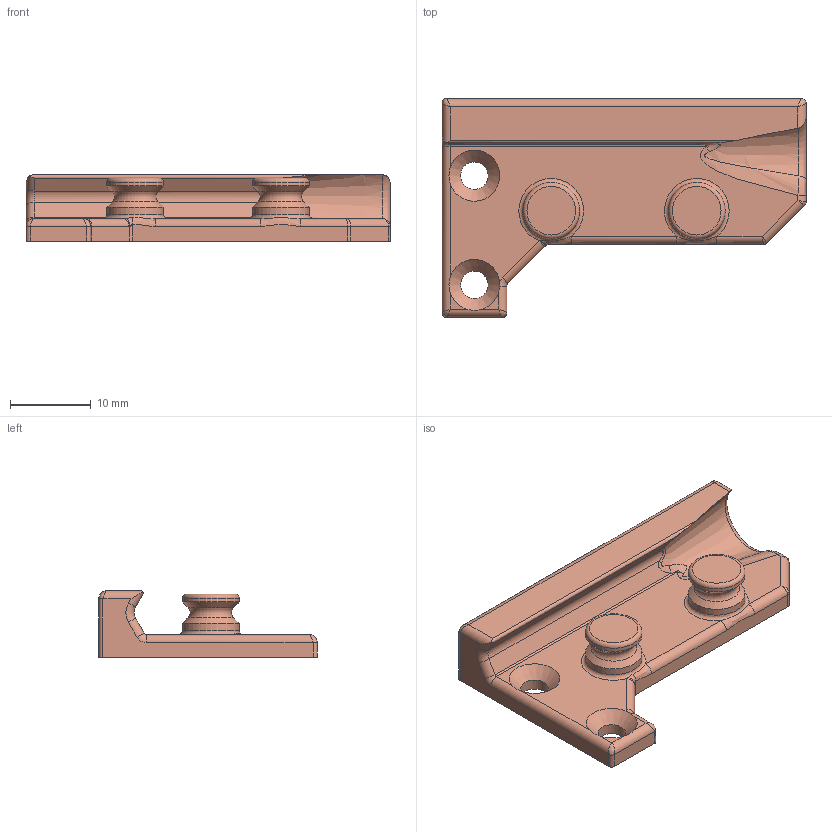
import cadquery as cq
import math

LENGTH = 45.0
WIDTH = 27.0
PLATE_THICKNESS = 2.8
TAB_WIDTH = 8.0
TAB_LENGTH = 4.0
FRONT_EDGE_Y = 9.0
CORNER_CUT = 5.0
CORNER_RADIUS = 0.5
EDGE_RADIUS = 1.0
TOUCH_TOLERANCE = 1e-3
FULL_TURN = 360

HEIGHT = 8.2
GROOVE_Z = 5.5
GROOVE_BOTTOM_Y = 22.65
GROOVE_RADIUS = 1.4
FLANK_ANGLE = math.radians(30)
LIP_RADIUS = 0.3
ROOT_RADIUS = 0.3
TANGENT_Y = GROOVE_BOTTOM_Y - GROOVE_RADIUS * (1 - math.cos(FLANK_ANGLE))
TANGENT_RISE = GROOVE_RADIUS * math.sin(FLANK_ANGLE)
ROOT_Y = TANGENT_Y - (GROOVE_Z - TANGENT_RISE - PLATE_THICKNESS) * math.tan(FLANK_ANGLE)
LIP_Y = TANGENT_Y - (HEIGHT - GROOVE_Z - TANGENT_RISE) * math.tan(FLANK_ANGLE)
LIP_ANGLE = math.pi / 2 - FLANK_ANGLE
LIP_SETBACK = LIP_RADIUS / math.tan(LIP_ANGLE / 2)

FLARE_Y = 20.0
FLARE_START_X = 30.0
FLARE_START_RADIUS = 2.4
FLARE_END_RADIUS = 4.42
FLARE_RIM_RADIUS = 4.0

PEG_X = 13.5
PEG_COUNT = 2
PEG_SPACING = 18.0
PEG_Y = 13.15
PEG_RADIUS = 3.5
PEG_TOP = 7.8
PEG_TOP_ROUND = 0.5
PEG_BASE_ROUND = 0.5
NECK_RADIUS = 2.55
NECK_ARC_RADIUS = 0.9
NECK_FLANK_ANGLE = math.radians(45)

HOLE_DIAMETER = 3.4
SINK_DIAMETER = 6.3
SINK_ANGLE = math.radians(90)
HOLE_X = 4.0
HOLE_YS = (4.0, 17.5)


def make_footprint(height):
    """Upright prism of the plan outline with rounded corners."""
    slant_end_x = TAB_WIDTH + FRONT_EDGE_Y - TAB_LENGTH
    outline = [
        (0, 0),
        (TAB_WIDTH, 0),
        (TAB_WIDTH, TAB_LENGTH),
        (slant_end_x, FRONT_EDGE_Y),
        (LENGTH - CORNER_CUT, FRONT_EDGE_Y),
        (LENGTH, FRONT_EDGE_Y + CORNER_CUT),
        (LENGTH, WIDTH),
        (0, WIDTH),
    ]
    prism = cq.Workplane("XY").polyline(outline).close().extrude(height)
    return prism.edges("|Z").fillet(CORNER_RADIUS)


def make_clearance():
    """Space above the plate, bounded by the undercut face of the wall."""
    return (
        cq.Workplane("YZ")
        .moveTo(0, PLATE_THICKNESS)
        .lineTo(ROOT_Y, PLATE_THICKNESS)
        .lineTo(TANGENT_Y, GROOVE_Z - TANGENT_RISE)
        .threePointArc((GROOVE_BOTTOM_Y, GROOVE_Z), (TANGENT_Y, GROOVE_Z + TANGENT_RISE))
        .lineTo(LIP_Y, HEIGHT)
        .lineTo(0, HEIGHT)
        .close()
        .extrude(LENGTH)
    )


def make_lip_trimmer():
    """Sliver between the sharp lip edge and the arc that rounds it."""
    flank_run = LIP_SETBACK * math.sin(FLANK_ANGLE)
    flank_drop = LIP_SETBACK * math.cos(FLANK_ANGLE)
    arc_center_y = LIP_Y + LIP_SETBACK
    arc_center_z = HEIGHT - LIP_RADIUS
    toward_tip = math.pi / 2 + (math.pi - LIP_ANGLE) / 2
    arc_middle = (
        arc_center_y + LIP_RADIUS * math.cos(toward_tip),
        arc_center_z + LIP_RADIUS * math.sin(toward_tip),
    )
    return (
        cq.Workplane("YZ")
        .moveTo(LIP_Y, HEIGHT)
        .lineTo(LIP_Y + LIP_SETBACK, HEIGHT)
        .threePointArc(arc_middle, (LIP_Y + flank_run, HEIGHT - flank_drop))
        .close()
        .extrude(LENGTH)
    )


def make_flare():
    """Cone along X that widens the wall's groove towards the +X end."""
    return cq.Workplane(cq.Solid.makeCone(
        FLARE_START_RADIUS,
        FLARE_END_RADIUS,
        LENGTH - FLARE_START_X,
        pnt=cq.Vector(FLARE_START_X, FLARE_Y, GROOVE_Z),
        dir=cq.Vector(1, 0, 0),
    ))


def make_peg():
    """Peg on the Z axis with a waist level with the wall's groove."""
    waist_end_radius = NECK_RADIUS + NECK_ARC_RADIUS * (1 - math.cos(NECK_FLANK_ANGLE))
    waist_rise = NECK_ARC_RADIUS * math.sin(NECK_FLANK_ANGLE)
    flank_rise = waist_rise + (PEG_RADIUS - waist_end_radius) / math.tan(NECK_FLANK_ANGLE)
    peg = (
        cq.Workplane("XZ")
        .lineTo(PEG_RADIUS, 0)
        .lineTo(PEG_RADIUS, GROOVE_Z - flank_rise)
        .lineTo(waist_end_radius, GROOVE_Z - waist_rise)
        .threePointArc((NECK_RADIUS, GROOVE_Z), (waist_end_radius, GROOVE_Z + waist_rise))
        .lineTo(PEG_RADIUS, GROOVE_Z + flank_rise)
        .lineTo(PEG_RADIUS, PEG_TOP)
        .lineTo(0, PEG_TOP)
        .close()
        .revolve(FULL_TURN, (0, 0), (0, 1))
    )
    return peg.faces(">Z").edges().fillet(PEG_TOP_ROUND)


def round_nearest_edge(body, point, radius):
    """Fillet the one edge whose centre of mass lies closest to the point."""
    return body.edges(cq.NearestToPointSelector(point)).fillet(radius)


def round_outline(body, prism):
    """Round every edge above the bottom that lies on the sides of the prism."""
    sides = cq.Compound.makeCompound(prism.faces("not (<Z or >Z)").vals())

    def on_side(edge):
        middle = cq.Vertex.makeVertex(*edge.positionAt(0.5).toTuple())
        return sides.distance(middle) < TOUCH_TOLERANCE

    return body.edges("not (|Z or <Z)").filter(on_side).fillet(EDGE_RADIUS)


def add_peg(body, x):
    """Join a peg to the plate and blend its foot into the top face."""
    body = body.union(make_peg().translate((x, PEG_Y, 0)))
    foot = (x, PEG_Y, PLATE_THICKNESS)
    return round_nearest_edge(body, foot, PEG_BASE_ROUND)


def make_screw_hole(y):
    """Through hole with a countersink opening at the plate top."""
    sink_depth = (SINK_DIAMETER - HOLE_DIAMETER) / 2 / math.tan(SINK_ANGLE / 2)
    return (
        cq.Workplane("XZ")
        .lineTo(HOLE_DIAMETER / 2, 0)
        .lineTo(HOLE_DIAMETER / 2, PLATE_THICKNESS - sink_depth)
        .lineTo(SINK_DIAMETER / 2, PLATE_THICKNESS)
        .lineTo(0, PLATE_THICKNESS)
        .close()
        .revolve(FULL_TURN, (0, 0), (0, 1))
        .translate((HOLE_X, y, 0))
    )


prism = make_footprint(HEIGHT)
body = prism.cut(make_clearance())
body = round_nearest_edge(body, (LENGTH / 2, ROOT_Y, PLATE_THICKNESS), ROOT_RADIUS)

body = body.cut(make_flare())
rim_point = ((FLARE_START_X + LENGTH) / 2, FLARE_Y - FLARE_START_RADIUS, PLATE_THICKNESS)
body = round_nearest_edge(body, rim_point, FLARE_RIM_RADIUS)

for index in range(PEG_COUNT):
    body = add_peg(body, PEG_X + index * PEG_SPACING)

body = round_outline(body, prism)
body = body.cut(make_lip_trimmer())

for hole_y in HOLE_YS:
    body = body.cut(make_screw_hole(hole_y))

result = body